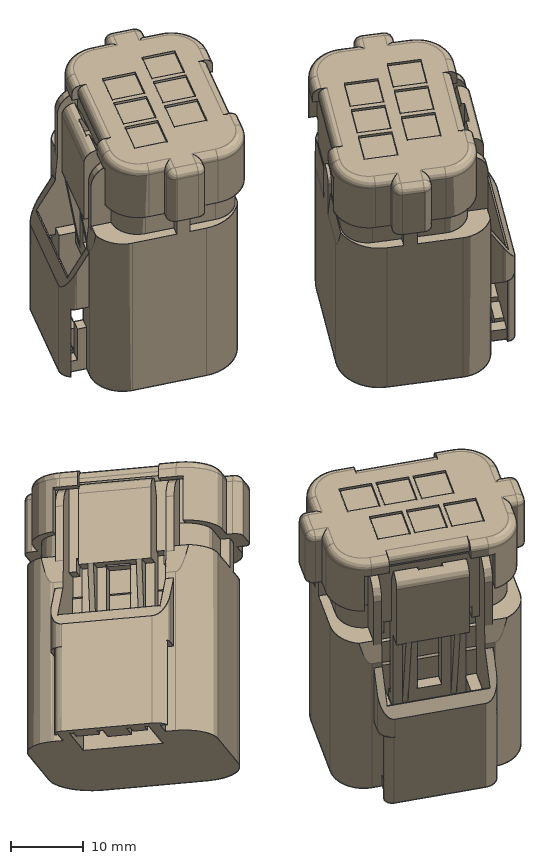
import cadquery as cq


HEIGHT = 40.0
WIDTH = 31.0
DEPTH = 25.9
CAP_BOTTOM = 31.2
HOUSING_TOP = 26.95

CAP_HALF_X = 13.45
CAP_HALF_Y = 10.1
CAP_CORNER = 5.15
CAP_EDGE = 1.15
WING_HALF_X = WIDTH / 2
WING_HALF_Y = 2.7
WING_CORNER = 1.2
LIP_HALF_X = 5.75
LIP_Y = 9.25
LIP_BOTTOM = 38.25
NOTCH_HALF_X = 9.25
NOTCH_TOP = 37.6

WINDOW_X = 4.55
WINDOW_Y = 4.7
WINDOW_PITCH = 5.25
WINDOW_DEPTH = 0.4
ROW_SHIFT = WINDOW_PITCH / 4
ROW_Y = 3.25

NECK_HALF_X = 12.1
NECK_Y = 8.85
NECK_CORNER = 3.8
KEY_HALF_Y = 0.95

HOUSING_BACK = 9.3
HOUSING_FRONT = -12.0
HOUSING_FRONT_CORNER = 4.7
HOUSING_BACK_CORNER = 6.05
TAPER_BOTTOM = 23.1
TAPER_DEPTH = 0.34
TAB_HALF_X = 1.65
TAB_TOP = 30.5

HOOD_HALF_X = 8.45
HOOD_FRONT = CAP_HALF_Y - DEPTH
HOOD_CORNER = 2.0
HOOD_TOP_BACK = 22.2
HOOD_TOP_FRONT = 15.6
HOOD_INNER_Y = -14.55
HOOD_MOUTH_Y = -14.8
HOOD_MOUTH_DEPTH = 0.1
RIM_SLOPE = (HOOD_TOP_FRONT - HOOD_TOP_BACK) / (HOUSING_FRONT - HOOD_FRONT)
SIDE_OPENING_TOP = 12.3
LEFT_COLUMN_X = 7.7
LEFT_COLUMN_CORNER = 1.15

CAVITY_HALF_X = 7.3
CHANNEL_HALF_X = 5.65
LEDGE_Z = 13.5
POCKET_TOP = 25.5
POCKET_MID_HALF_X = 6.25
POCKET_MID_TOP = 27.45
POCKET_Y = -6.9
SILL_Y = -7.15
SILL_TOP = 22.5
SILL_BOTTOM = 22.2
STEP_Y = -7.3
STEP_TOP = 18.4
STEP_BOTTOM = 18.0

RAIL_FRONT = -11.7
RAIL_ROUND = 3.4

LEVER_HALF_X = 5.15
LEVER_BACK = -8.1
LEVER_FACE = -9.75
LEVER_FRONT = RAIL_FRONT
LEVER_BOTTOM = 12.0
HEAD_BOTTOM = POCKET_TOP
HEAD_ROUND = 1.8
HEAD_SLOPE_DROP = 2.4
SLOT_HALF_X = 1.7
SLOT_FRONT = -10.35
SLOT_BOTTOM = 14.9
RIB_INNER_X = 3.05
RIB_WIDTH = 0.8
RIB_BOTTOM = 12.9

FOOT_Z = 1.95
FOOT_STEP_Y = -13.3
SMALL_FOOT_Y = -13.25
MIDDLE_FOOT_LEFT = -0.9
MIDDLE_FOOT_RIGHT = 2.5
FOOT_BLOCKS = [
    (-CAVITY_HALF_X, -CHANNEL_HALF_X, HOUSING_FRONT, FOOT_Z),
    (CHANNEL_HALF_X, CAVITY_HALF_X, HOUSING_FRONT, FOOT_Z),
    (-5.05, -1.7, SMALL_FOOT_Y, FOOT_Z),
    (3.05, 5.05, SMALL_FOOT_Y, FOOT_Z),
    (MIDDLE_FOOT_LEFT, MIDDLE_FOOT_RIGHT, HOUSING_FRONT, FOOT_Z),
]
RIGHT_STOP_TOP = 7.6
MIDDLE_STOP_TOP = 3.45

OVER = 4.0
SINK = 0.4


def block(x0, x1, y0, y1, z0, z1):
    """Box between two opposite corners."""
    return cq.Workplane("XY").box(x1 - x0, y1 - y0, z1 - z0, centered=False).translate((x0, y0, z0))


def middle_block(half_x, y0, y1, z0, z1):
    """Box symmetric about X = 0."""
    return block(-half_x, half_x, y0, y1, z0, z1)


def side_profile(points, x0, x1):
    """Prism along X of a (y, z) polygon."""
    return cq.Workplane("YZ").polyline(points).close().extrude(x1 - x0).translate((x0, 0, 0))


def rounded_front(half_x, y_front, z_top, radius, z_bottom, y_back):
    """Box on the latch side whose front top edge is rounded."""
    body = middle_block(half_x, y_front, y_back, z_bottom, z_top)
    return body.edges("|X and <Y and >Z").fillet(radius)


def make_cap():
    cap = middle_block(CAP_HALF_X, -CAP_HALF_Y, CAP_HALF_Y, CAP_BOTTOM, HEIGHT)
    cap = cap.edges("|Z").fillet(CAP_CORNER)
    wings = middle_block(WING_HALF_X, -WING_HALF_Y, WING_HALF_Y, CAP_BOTTOM, HEIGHT)
    wings = wings.edges("|Z").fillet(WING_CORNER)
    cap = cap.union(wings).faces(">Z").edges().fillet(CAP_EDGE)

    for y0, y1 in ((-CAP_HALF_Y - OVER, -NECK_Y), (NECK_Y, CAP_HALF_Y + OVER)):
        cap = cap.cut(middle_block(NOTCH_HALF_X, y0, y1, CAP_BOTTOM - OVER, NOTCH_TOP))

    inner_y = LIP_Y - CAP_EDGE
    recess = middle_block(LIP_HALF_X, -CAP_HALF_Y - OVER, CAP_HALF_Y + OVER, NOTCH_TOP, HEIGHT + OVER)
    recess = recess.cut(middle_block(LIP_HALF_X, -inner_y, inner_y, NOTCH_TOP, HEIGHT + OVER))
    lip = middle_block(LIP_HALF_X, -LIP_Y, LIP_Y, NOTCH_TOP, HEIGHT)
    lip = lip.edges("|X and >Z").fillet(CAP_EDGE)
    lip = lip.edges("|X and <Z").chamfer(LIP_BOTTOM - NOTCH_TOP, LIP_Y - NECK_Y)
    cap = cap.cut(recess).union(lip)

    for row in (1, -1):
        for column in (-1, 0, 1):
            window = cq.Workplane("XY").box(WINDOW_X, WINDOW_Y, 2 * WINDOW_DEPTH)
            x = column * WINDOW_PITCH - row * ROW_SHIFT
            cap = cap.cut(window.translate((x, row * ROW_Y, HEIGHT)))
    return cap


def make_neck():
    neck = middle_block(NECK_HALF_X, -NECK_Y, NECK_Y, HOUSING_TOP - SINK, NOTCH_TOP)
    neck = neck.edges("|Z").fillet(NECK_CORNER)
    keys = middle_block(CAP_HALF_X, -KEY_HALF_Y, KEY_HALF_Y, HOUSING_TOP - SINK, CAP_BOTTOM + SINK)
    return neck.union(keys)


def make_housing():
    housing = middle_block(CAP_HALF_X, HOUSING_FRONT, HOUSING_BACK, 0, HOUSING_TOP)
    housing = housing.edges("|Z and <Y").fillet(HOUSING_FRONT_CORNER)
    housing = housing.edges("|Z and >Y").fillet(HOUSING_BACK_CORNER)

    for y, inward in ((HOUSING_FRONT, 1), (HOUSING_BACK, -1)):
        lean = [
            (y, TAPER_BOTTOM),
            (y + inward * TAPER_DEPTH, HOUSING_TOP),
            (y - inward * OVER, HOUSING_TOP),
            (y - inward * OVER, TAPER_BOTTOM),
        ]
        housing = housing.cut(side_profile(lean, -CAP_HALF_X, CAP_HALF_X))

    tab_depth = HOUSING_BACK - NECK_Y + SINK
    shoulder = TAB_TOP - TAB_HALF_X
    tab = (
        cq.Workplane("XZ", origin=(0, HOUSING_BACK, 0))
        .moveTo(-TAB_HALF_X, TAPER_BOTTOM)
        .lineTo(-TAB_HALF_X, shoulder)
        .threePointArc((0, TAB_TOP), (TAB_HALF_X, shoulder))
        .lineTo(TAB_HALF_X, TAPER_BOTTOM)
        .close()
        .extrude(tab_depth)
    )
    return housing.union(tab)


def make_hood():
    hood = middle_block(HOOD_HALF_X, HOOD_FRONT, HOUSING_FRONT + SINK, 0, HOOD_TOP_BACK)
    hood = hood.edges("|Z and <Y").fillet(HOOD_CORNER)
    slope = [
        (HOUSING_FRONT, HOOD_TOP_BACK),
        (HOOD_FRONT, HOOD_TOP_FRONT),
        (HOOD_FRONT, HOOD_TOP_BACK),
    ]
    hood = hood.cut(side_profile(slope, -HOOD_HALF_X, HOOD_HALF_X))

    hood = hood.cut(middle_block(HOOD_HALF_X, HOOD_INNER_Y, HOUSING_FRONT, 0, SIDE_OPENING_TOP))

    left_end = -HOOD_HALF_X + HOOD_CORNER
    hood = hood.cut(block(-HOOD_HALF_X, left_end, HOOD_FRONT, HOOD_INNER_Y, 0, SIDE_OPENING_TOP))
    column = block(-LEFT_COLUMN_X, left_end, HOOD_FRONT, HOOD_INNER_Y, 0, SIDE_OPENING_TOP)
    column = column.edges("|Z and <X and <Y").fillet(LEFT_COLUMN_CORNER)
    return hood.union(column)


def cut_cavity(body):
    mouth_z = HOOD_TOP_BACK + RIM_SLOPE * (HOUSING_FRONT - HOOD_MOUTH_Y)
    inside = [
        (HOUSING_FRONT, SIDE_OPENING_TOP),
        (HOOD_INNER_Y, SIDE_OPENING_TOP),
        (HOOD_INNER_Y, mouth_z - HOOD_MOUTH_DEPTH),
        (HOOD_MOUTH_Y, mouth_z),
        (HOOD_MOUTH_Y, HOOD_TOP_BACK + OVER),
        (HOUSING_FRONT, HOOD_TOP_BACK + OVER),
    ]
    body = body.cut(side_profile(inside, -CAVITY_HALF_X, CAVITY_HALF_X))

    body = body.cut(middle_block(CAVITY_HALF_X, HOUSING_FRONT, -NECK_Y, POCKET_TOP, HOUSING_TOP))

    wall = [
        (HOUSING_FRONT, POCKET_TOP),
        (POCKET_Y, POCKET_TOP),
        (POCKET_Y, SILL_TOP),
        (SILL_Y, SILL_BOTTOM),
        (SILL_Y, STEP_TOP),
        (STEP_Y, STEP_BOTTOM),
        (STEP_Y, LEDGE_Z),
        (HOUSING_FRONT, LEDGE_Z),
    ]
    body = body.cut(side_profile(wall, -CAVITY_HALF_X, CAVITY_HALF_X))
    body = body.cut(middle_block(POCKET_MID_HALF_X, -NECK_Y, POCKET_Y, POCKET_TOP, POCKET_MID_TOP))

    return body.cut(middle_block(CHANNEL_HALF_X, HOUSING_FRONT, STEP_Y, -OVER, LEDGE_Z))


def make_rails():
    root_y = -NECK_Y + 2 * SINK
    rails = rounded_front(HOOD_HALF_X, RAIL_FRONT, NOTCH_TOP, RAIL_ROUND, TAPER_BOTTOM, root_y)
    return rails.cut(middle_block(CAVITY_HALF_X, RAIL_FRONT, root_y, TAPER_BOTTOM, NOTCH_TOP))


def make_lever():
    lever = middle_block(LEVER_HALF_X, LEVER_FACE, LEVER_BACK, LEVER_BOTTOM, NOTCH_TOP)
    head = rounded_front(LEVER_HALF_X, LEVER_FRONT, NOTCH_TOP, HEAD_ROUND, HEAD_BOTTOM, LEVER_BACK)
    lever = lever.union(head)

    slope_bottom = NOTCH_TOP - HEAD_SLOPE_DROP
    slope = [
        (LEVER_FRONT + HEAD_ROUND, NOTCH_TOP),
        (-NECK_Y, slope_bottom),
        (-NECK_Y, NOTCH_TOP),
    ]
    lever = lever.cut(side_profile(slope, -LEVER_HALF_X, LEVER_HALF_X))
    lever = lever.cut(middle_block(SLOT_HALF_X, LEVER_FACE, -NECK_Y, slope_bottom, NOTCH_TOP))

    foot = middle_block(LEVER_HALF_X, LEVER_BACK, STEP_Y + SINK, LEVER_BOTTOM, LEDGE_Z)
    lever = lever.union(foot)

    rib = [
        (LEVER_FACE, RIB_BOTTOM),
        (LEVER_FRONT, HEAD_BOTTOM),
        (LEVER_FACE, HEAD_BOTTOM),
    ]
    for x in (-RIB_INNER_X - RIB_WIDTH, RIB_INNER_X):
        lever = lever.union(side_profile(rib, x, x + RIB_WIDTH))

    lever = lever.cut(middle_block(SLOT_HALF_X, LEVER_FACE, LEVER_BACK, SLOT_BOTTOM, HEAD_BOTTOM))
    return lever.cut(middle_block(SLOT_HALF_X, SLOT_FRONT, LEVER_FACE, HEAD_BOTTOM, NOTCH_TOP))


def make_feet():
    feet = middle_block(CAVITY_HALF_X, HOOD_INNER_Y - SINK, HOOD_INNER_Y, 0, FOOT_Z)
    for x0, x1, y_back, top in FOOT_BLOCKS:
        feet = feet.union(block(x0, x1, HOOD_INNER_Y, y_back, 0, top))
    for x0, x1, top in (
        (CHANNEL_HALF_X, CAVITY_HALF_X, RIGHT_STOP_TOP),
        (MIDDLE_FOOT_LEFT, MIDDLE_FOOT_RIGHT, MIDDLE_STOP_TOP),
    ):
        feet = feet.union(block(x0, x1, FOOT_STEP_Y, HOUSING_FRONT, 0, top))
    return feet


shell = make_housing().union(make_hood()).union(make_neck())
shell = cut_cavity(shell)
result = shell.union(make_cap()).union(make_rails()).union(make_lever()).union(make_feet())